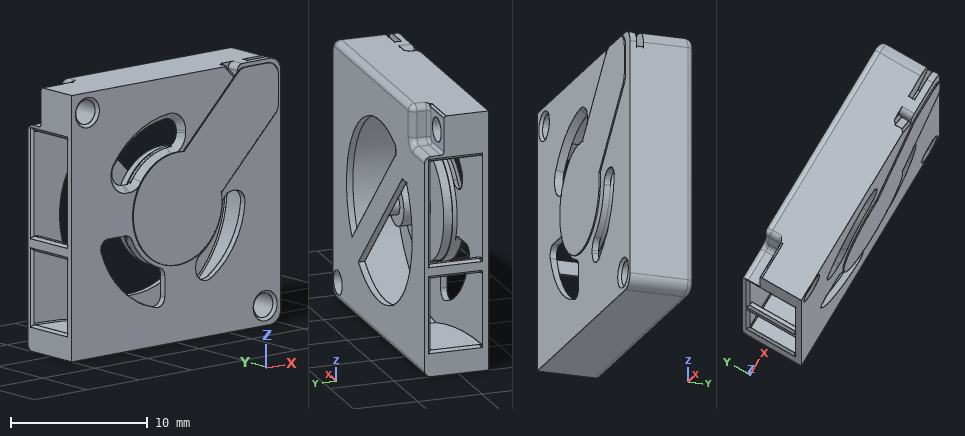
import cadquery as cq
import math

SIDE = 20.0
DEPTH = 5.0
WALL = 0.5
CORNER_RADIUS = 1.0
BACK_FILLET = 0.5

NOTCH_SIZE = 3.0
NOTCH_DEPTH = 1.5
NOTCH_RADIUS = 0.5
NOTCH_ROOT_FILLET = 0.25
NOTCH_RIM_CHAMFER = 0.15

HOLE_INSET = 1.5
HOLE_RADIUS = 0.92
HOLE_CHAMFER = 0.22

HUB_X = 9.9
HUB_Z = 10.1

SCROLL_TOP_RADIUS = 7.8
SCROLL_BOTTOM_RADIUS = 9.5
TONGUE_ANGLE = -38.0
SCROLL_STEPS = 8
CAVITY_EDGE_CHAMFER = 0.1

OUTLET_TOP = 16.6
OUTLET_BOTTOM = 2.0
OUTLET_CHAMFER = 0.2
BAR_BOTTOM = 7.55
BAR_TOP = 8.65
BAR_DEPTH = 0.5

INLET_RADIUS = 7.0
INLET_OFFSET = -0.25
STRUT_WIDTH = 2.0
STRUT_FLARE_RADIUS = 6.25

HUB_RADIUS = 4.45
HUB_BASE_RADIUS = 4.52
HUB_BASE_TOP = 0.85
HUB_TOP = 1.52
BOSS_RADIUS = 1.65
BOSS_TOP = 3.6
SHAFT_RADIUS = 0.78

SLOT_RADIUS = 6.7
SLOT_FILLET = 1.0
SLOT_END = 0.5
UPPER_SLOT_LOW_END = 2.3
RIGHT_SLOT_LEFT_END = 1.95
LOWER_SLOT_RADIUS = 7.45
LOWER_SLOT_TOP_END = 1.4
LOWER_SLOT_RIGHT_END = 1.0
LOWER_SLOT_FILLET = 0.7

EXIT_START = 14.88
EXIT_END = 15.85
EXIT_DEPTH = 1.05
EXIT_FLOOR_CHAMFER = 0.25
EXIT_FRONT_CHAMFER = 0.2
EXIT_BLOCK_FILLET = 0.48
CORNER_SLOT_START = 17.25
CORNER_SLOT_FRONT = 0.52
CORNER_SLOT_RAMP = 1.4

LABEL_FRONT = -0.28
LABEL_THICKNESS = 0.1
LABEL_RADIUS = 4.25
LABEL_ARM_WIDTH = 5.08
LABEL_RIGHT = 19.55
LABEL_TOP = 19.75
LABEL_CORNER_RADIUS = 1.0


def plane_at(y):
    """Plane facing +Y at depth y, whose second axis points down."""
    return cq.Workplane(cq.Plane((0, y, 0), (1, 0, 0), (0, 1, 0)))


def disc(radius, y_start, y_end, x=HUB_X, z=HUB_Z):
    return plane_at(y_start).center(x, -z).circle(radius).extrude(y_end - y_start)


def box(x_range, y_range, z_range):
    corner = (x_range[0], y_range[0], z_range[0])
    sizes = (x_range[1] - x_range[0], y_range[1] - y_range[0], z_range[1] - z_range[0])
    return cq.Workplane("XY").box(*sizes, centered=False).translate(corner)


def prism(points, y_start, y_end):
    outline = [(x, -z) for x, z in points]
    return plane_at(y_start).polyline(outline).close().extrude(y_end - y_start)


def make_shell():
    """Square shell with rounded right corners, a recessed back corner and a rounded back rim."""
    step_y = DEPTH - NOTCH_DEPTH
    floor_z = SIDE - NOTCH_SIZE
    shell = box((0, SIDE), (0, DEPTH), (0, SIDE)).edges("|Y and >X").fillet(CORNER_RADIUS)
    shell = shell.cut(box((0, NOTCH_SIZE), (step_y, DEPTH), (floor_z, SIDE)))
    for z in (floor_z, SIDE):
        notch_edge = cq.selectors.NearestToPointSelector((NOTCH_SIZE, step_y + NOTCH_DEPTH / 2, z))
        shell = shell.edges(notch_edge).fillet(NOTCH_RADIUS)
    root_edge = cq.selectors.NearestToPointSelector((NOTCH_SIZE, step_y, SIDE - NOTCH_SIZE / 2))
    shell = shell.edges(root_edge).fillet(NOTCH_ROOT_FILLET)
    shell = shell.faces(">Y").edges("not <X").fillet(BACK_FILLET)
    return shell.cut(make_notch_rim_bevel(step_y))


def make_notch_rim_bevel(step_y):
    """Wedge that bevels the top edge of the notch's step."""
    side_plane = cq.Workplane("YZ").moveTo(step_y, SIDE)
    wedge = side_plane.lineTo(step_y - NOTCH_RIM_CHAMFER, SIDE).lineTo(step_y, SIDE - NOTCH_RIM_CHAMFER)
    return wedge.close().extrude(NOTCH_SIZE)


def scroll_point(angle):
    """Scroll wall point (X, -Z) at a clockwise angle in degrees from straight up."""
    growth = (SCROLL_BOTTOM_RADIUS - SCROLL_TOP_RADIUS) / 180
    radius = SCROLL_TOP_RADIUS + growth * angle
    turn = math.radians(angle)
    return HUB_X + radius * math.sin(turn), -(HUB_Z + radius * math.cos(turn))


def make_cavity():
    """Sloping outlet ceiling, spiral wall, then a floor arc tangent to the spiral's lowest point."""
    step = (180 - TONGUE_ANGLE) / SCROLL_STEPS
    wall = [scroll_point(TONGUE_ANGLE + step * i) for i in range(SCROLL_STEPS + 1)]
    tongue = plane_at(WALL).moveTo(0, -OUTLET_TOP).lineTo(*wall[0])
    scroll = tongue.spline(wall[1:], includeCurrent=True)
    drop = HUB_Z - SCROLL_BOTTOM_RADIUS - OUTLET_BOTTOM
    floor_radius = (HUB_X**2 + drop**2) / (2 * abs(drop))
    outline = scroll.radiusArc((0, -OUTLET_BOTTOM), floor_radius).close()
    cavity = outline.extrude(DEPTH - 2 * WALL)
    return cavity.faces(">Y").edges("not <X").chamfer(CAVITY_EDGE_CHAMFER)


def make_outlet_bar():
    return box((0, BAR_DEPTH), (WALL, DEPTH - WALL), (BAR_BOTTOM, BAR_TOP))


def make_outlet_chamfer(bottom, top):
    """Flare of one outlet opening, narrowing from the left face inwards."""
    middle_y = (DEPTH + OUTLET_CHAMFER) / 2
    width = DEPTH - 2 * WALL + OUTLET_CHAMFER
    height = top - bottom + 2 * OUTLET_CHAMFER
    left_face = cq.Workplane(cq.Plane((0, middle_y, (bottom + top) / 2), (0, 1, 0), (1, 0, 0)))
    return left_face.rect(width, height).extrude(OUTLET_CHAMFER, taper=45)


def make_inlet():
    """Round inlet with a diagonal strut left standing, flared where it meets the upper left rim."""
    opening = disc(INLET_RADIUS, DEPTH - 2 * WALL, DEPTH, HUB_X + INLET_OFFSET, HUB_Z + INLET_OFFSET)
    reach = 2 * INLET_RADIUS
    half = STRUT_WIDTH / 2
    flare = reach - STRUT_FLARE_RADIUS
    outline = [
        (reach, half),
        (-STRUT_FLARE_RADIUS, half),
        (-reach, half + flare),
        (-reach, -half - flare),
        (-STRUT_FLARE_RADIUS, -half),
        (reach, -half),
    ]
    strut = prism(outline, 0, DEPTH).rotate((0, 0, 0), (0, 1, 0), 45).translate((HUB_X, 0, HUB_Z))
    return opening.cut(strut)


def make_hub():
    hub = disc(HUB_BASE_RADIUS, WALL, HUB_BASE_TOP)
    hub = hub.union(disc(HUB_RADIUS, WALL, HUB_TOP))
    hub = hub.union(disc(BOSS_RADIUS, WALL, BOSS_TOP))
    return hub.union(disc(SHAFT_RADIUS, WALL, DEPTH - WALL))


def make_slot(outer_radius, x_range, z_range, fillet):
    """Ring sector outside the hub, bounded by X and Z limits measured from the axis."""
    ring = disc(outer_radius, 0, WALL).cut(disc(HUB_BASE_RADIUS, 0, WALL))
    limits = box(x_range, (0, WALL), z_range).translate((HUB_X, 0, HUB_Z))
    return ring.intersect(limits).edges("|Y").fillet(fillet)


def make_upper_slot():
    """Slot whose walls flare at 45 degrees towards the front."""
    far = SLOT_RADIUS
    slot = make_slot(far, (-far, SLOT_END), (UPPER_SLOT_LOW_END, far), SLOT_FILLET)
    return slot.faces(">Y").wires().toPending().workplane().extrude(-WALL, taper=-45)


def make_right_slot():
    far = SLOT_RADIUS
    return make_slot(far, (RIGHT_SLOT_LEFT_END, far), (-far, SLOT_END), SLOT_FILLET)


def make_lower_slot():
    far = LOWER_SLOT_RADIUS
    return make_slot(far, (-far, -LOWER_SLOT_RIGHT_END), (-far, -LOWER_SLOT_TOP_END), LOWER_SLOT_FILLET)


def make_mounting_hole(x, z):
    hole = disc(HOLE_RADIUS, 0, DEPTH, x, z)
    rim = plane_at(0).center(x, -z).circle(HOLE_RADIUS + HOLE_CHAMFER).extrude(HOLE_CHAMFER, taper=45)
    return hole.union(rim)


def cut_cable_exit(housing):
    """Cut a triangular front pocket, open at the top, with a beveled 45 degree end wall."""
    low = SIDE - (EXIT_END - EXIT_START)
    pocket = prism([(EXIT_START, SIDE), (EXIT_END, SIDE), (EXIT_END, low)], 0, EXIT_DEPTH)
    pocket = pocket.faces(">Y").edges("not (>Z or >X)").chamfer(EXIT_FLOOR_CHAMFER)
    housing = housing.cut(pocket)
    end_wall_middle = ((EXIT_START + EXIT_END) / 2, 0, (SIDE + low) / 2)
    end_wall_edge = cq.selectors.NearestToPointSelector(end_wall_middle)
    housing = housing.edges(end_wall_edge).chamfer(EXIT_FRONT_CHAMFER)
    block_edge = cq.selectors.NearestToPointSelector((EXIT_END, EXIT_DEPTH / 2, SIDE))
    return housing.edges(block_edge).fillet(EXIT_BLOCK_FILLET)


def make_corner_slot():
    """Slot behind the front skin, open at the top and right, whose floor rises to the right."""
    low = CORNER_SLOT_START
    ramp_x = SIDE - CORNER_SLOT_RAMP
    outline = [
        (CORNER_SLOT_START, SIDE),
        (CORNER_SLOT_START, low),
        (ramp_x, low),
        (SIDE, low + CORNER_SLOT_RAMP),
        (SIDE, SIDE),
    ]
    return prism(outline, CORNER_SLOT_FRONT, EXIT_DEPTH)


def make_housing():
    housing = make_shell().cut(make_cavity())
    housing = housing.union(make_outlet_bar())
    for bottom, top in ((OUTLET_BOTTOM, BAR_BOTTOM), (BAR_TOP, OUTLET_TOP)):
        housing = housing.cut(make_outlet_chamfer(bottom, top))
    housing = housing.cut(make_inlet()).union(make_hub())
    for slot in (make_upper_slot(), make_right_slot(), make_lower_slot()):
        housing = housing.cut(slot)
    for x, z in ((HOLE_INSET, SIDE - HOLE_INSET), (SIDE - HOLE_INSET, HOLE_INSET)):
        housing = housing.cut(make_mounting_hole(x, z))
    return cut_cable_exit(housing).cut(make_corner_slot())


def make_label():
    """Disc over the hub with a diagonal arm that ends in the upper right corner."""
    back = LABEL_FRONT + LABEL_THICKNESS
    half = LABEL_ARM_WIDTH / 2
    arm = box((0, SIDE), (LABEL_FRONT, back), (-half, half))
    arm = arm.rotate((0, 0, 0), (0, 1, 0), -45).translate((HUB_X, 0, HUB_Z))
    arm = arm.intersect(box((0, LABEL_RIGHT), (LABEL_FRONT, back), (0, LABEL_TOP)))
    arm = arm.edges("|Y and (>X or >Z)").fillet(LABEL_CORNER_RADIUS)
    return arm.union(disc(LABEL_RADIUS, LABEL_FRONT, back))


housing = make_housing()
label = make_label()
result = cq.Compound.makeCompound([housing.val(), label.val()])